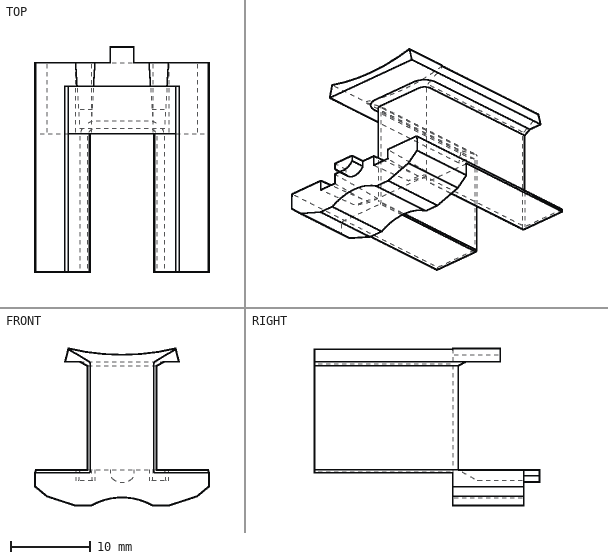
import cadquery as cq
import math

total_length = 28.5
plate_length = 26.5
web_front = 17.5
web_thickness = 0.7
web_back = web_front + web_thickness
cap_back = 23.5

half_width = 11.0
plate_thickness = 0.4
plate_bottom = 4.13
plate_top = plate_bottom + plate_thickness
edge_bevel = 0.09
foot_side_bottom = 2.42
foot_knee_x = 9.5
foot_knee_z = 1.17
foot_flat_outer = 5.93
foot_flat_inner = 3.88
foot_arch_height = 1.03

wall_inner = 4.0
wall_thickness = 0.4
wall_outer = wall_inner + wall_thickness
wall_top = 17.67
wall_corner_radius = 1.03
slot_edge_chamfer = 0.17
channel_lip_bevel = 0.17

rim_bottom = 18.18
rim_outer = 7.2
rim_flare = 0.95
flare_start_z = 18.13
tip_x = 6.78
tip_z = 19.9
saddle_z = 19.1
rim_tip_z = 19.78

groove_depth = 1.35
groove_inner = 3.42
groove_outer = 5.87
groove_narrowing = 0.5
groove_ramp_length = 2.4

tab_half_width = 1.5
tab_side_bottom = 3.75
tab_bottom = 2.95


def section(y_start):
    """Workplane at y_start with local axes X and Z; extrude(-length) runs toward +Y."""
    return cq.Workplane("XZ", origin=(0, y_start, 0))


def make_plate():
    top_half = half_width - edge_bevel
    outline = [
        (-half_width, plate_bottom),
        (half_width, plate_bottom),
        (top_half, plate_top),
        (-top_half, plate_top),
    ]
    return section(0).polyline(outline).close().extrude(-plate_length)


def make_foot():
    return (
        section(web_front)
        .moveTo(-half_width, plate_bottom)
        .lineTo(-half_width, foot_side_bottom)
        .lineTo(-foot_knee_x, foot_knee_z)
        .lineTo(-foot_flat_outer, 0)
        .lineTo(-foot_flat_inner, 0)
        .threePointArc((0, foot_arch_height), (foot_flat_inner, 0))
        .lineTo(foot_flat_outer, 0)
        .lineTo(foot_knee_x, foot_knee_z)
        .lineTo(half_width, foot_side_bottom)
        .lineTo(half_width, plate_bottom)
        .close()
        .extrude(-(plate_length - web_front))
    )


def make_upright():
    """Block that becomes the walls and web, flaring outward under the rim."""
    column = (
        cq.Workplane("XY", origin=(0, web_back / 2, plate_bottom))
        .rect(2 * wall_outer, web_back)
        .extrude(wall_top - plate_bottom)
        .edges("|Z and >Y")
        .fillet(wall_corner_radius)
    )
    flare_height = rim_bottom - wall_top
    flare_angle = math.degrees(math.atan2(rim_flare, flare_height))
    flare = (
        column.faces(">Z")
        .wires()
        .toPending()
        .workplane()
        .extrude(flare_height, taper=-flare_angle, combine=False)
    )
    ahead_of_front = cq.Workplane("XY").box(
        2 * half_width, total_length, 2 * total_length, centered=(True, False, True)
    ).translate((0, -total_length, 0))
    return column.union(flare.cut(ahead_of_front))


def make_rim_and_cap():
    """Saddle-topped slab over the full rim length; the channel later opens its front part."""
    return (
        section(0)
        .moveTo(-rim_outer, rim_bottom)
        .lineTo(-tip_x, tip_z)
        .threePointArc((0, saddle_z), (tip_x, tip_z))
        .lineTo(rim_outer, rim_bottom)
        .close()
        .extrude(-cap_back)
    )


def make_channel():
    """Open channel between the walls, from the front end to the web, widening at the rim."""
    slope = (rim_tip_z - flare_start_z) / (tip_x - wall_inner)
    mouth_x = rim_outer
    mouth_z = flare_start_z + slope * (mouth_x - wall_inner)
    right_side = [
        (wall_inner + slot_edge_chamfer, plate_bottom),
        (wall_inner, plate_bottom + slot_edge_chamfer),
        (wall_inner, flare_start_z - channel_lip_bevel),
        (wall_inner + channel_lip_bevel, flare_start_z + slope * channel_lip_bevel),
        (mouth_x, mouth_z),
    ]
    left_side = [(-x, z) for x, z in reversed(right_side)]
    return section(0).polyline(right_side + left_side).close().extrude(-web_front)


def make_groove(side):
    """Tapered groove behind the web, ramping up at its closed end; side is +1 or -1."""
    plan = [
        (side * groove_inner, plate_length),
        (side * groove_outer, plate_length),
        (side * (groove_outer - groove_narrowing), web_back),
        (side * (groove_inner + groove_narrowing), web_back),
    ]
    floor_z = plate_top - groove_depth
    profile = [
        (web_back, plate_top),
        (web_back + groove_ramp_length, floor_z),
        (plate_length, floor_z),
        (plate_length, plate_top),
    ]
    plan_prism = cq.Workplane("XY").polyline(plan).close().extrude(plate_top)
    depth_prism = cq.Workplane("YZ").polyline(profile).close().extrude(half_width, both=True)
    return plan_prism.intersect(depth_prism)


def make_tab():
    """Round-bottomed tab, rooted in the foot and ending at the rear extreme."""
    return (
        section(web_back)
        .moveTo(-tab_half_width, plate_top)
        .lineTo(-tab_half_width, tab_side_bottom)
        .threePointArc((0, tab_bottom), (tab_half_width, tab_side_bottom))
        .lineTo(tab_half_width, plate_top)
        .close()
        .extrude(-(total_length - web_back))
    )


body = make_plate().union(make_upright()).union(make_rim_and_cap()).cut(make_channel())
body = body.union(make_foot()).union(make_tab())
for side in (-1, 1):
    body = body.cut(make_groove(side))

result = body